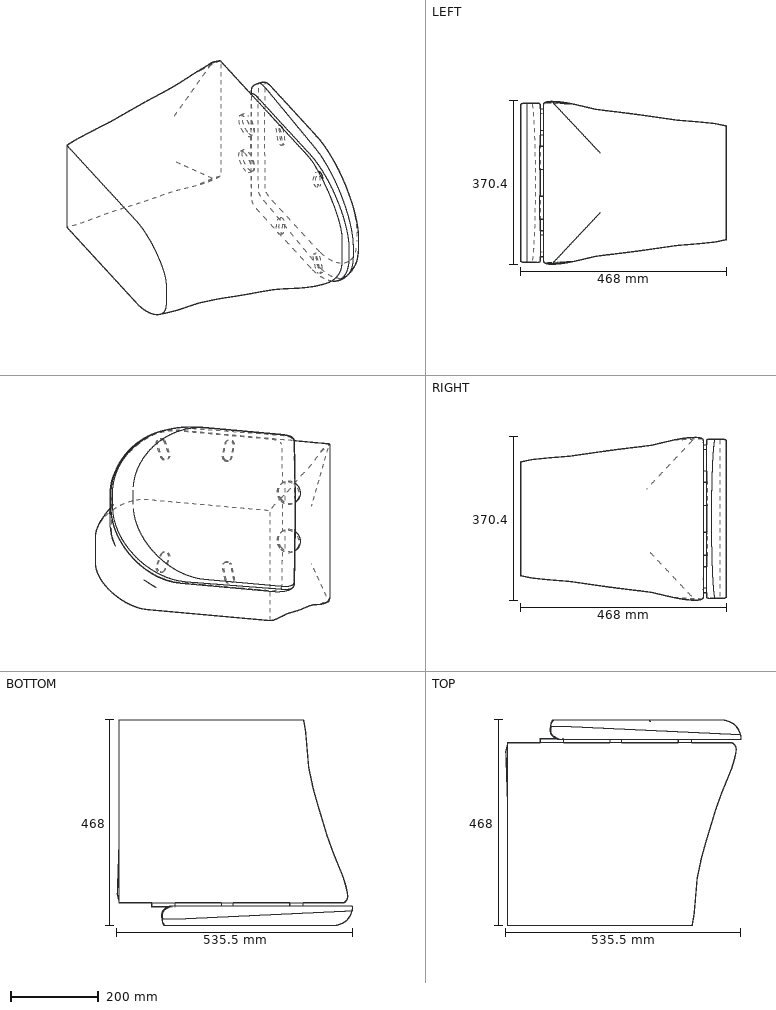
import cadquery as cq


BOWL_HEIGHT = 416.0
FLOOR_CORNER_FULLNESS = 0.46
RIM_CORNER_FULLNESS = 0.4
BOWL_SECTIONS = [
    (0, 129.5, 295.5, 420.0, 31.5),
    (85.5, 140.0, 310.0, 429.5, 32.5),
    (171.5, 151.0, 325.0, 446.0, 34.0),
    (257, 161.5, 340.5, 471.5, 36.0),
    (310.5, 170.0, 352.0, 491.0, 36.5),
    (353.5, 180.5, 363.5, 508.5, 37.5),
    (391, 185.0, 370.5, 519, 38.0),
    (402.5, 185.0, 371.0, 520.5, 38.0),
    (410.0, 183.5, 370.0, 517.5, 38.0),
    (414.5, 181.0, 368.0, 514, 37.5),
    (BOWL_HEIGHT, 176.5, 365.0, 509.5, 37.5),
]

FLARE_DEPTH = 4.0
FLARE_TIP = (287.0, 68.0)
FLARE_PEAK = (396, 184.0)
FLARE_TOP = (411.0, 182.0)
FLARE_BOTTOM = (350.5, 179.0)
FLARE_ROOT = 2.5

COVER_BOTTOM = 423
COVER_TOP = 468.0
COVER_HALF_WIDTH = 181.0
COVER_EDGE_HALF_WIDTH = 178.0
COVER_NOSE = 531.5
COVER_NOSE_FLAT = 16
COVER_CORNER_FULLNESS = 0.51
REAR_BOW = 2.0
REAR_CORNER_LENGTH = 29.5
REAR_CORNER_WIDTH = 13.5
COVER_SECTIONS = [
    (COVER_BOTTOM, COVER_EDGE_HALF_WIDTH, 116.5, 366.0, 530),
    (426.5, COVER_HALF_WIDTH, 108.5, 363.5, COVER_NOSE),
    (437.0, COVER_HALF_WIDTH, 98.5, 357.5, 529.5),
    (450.5, COVER_HALF_WIDTH, 97.5, 349.5, 522.5),
    (461.5, COVER_HALF_WIDTH, 99.5, 332, 510.0),
    (COVER_TOP, COVER_EDGE_HALF_WIDTH, 103.0, 320.0, 492.5),
]

JOINT_REAR_HEIGHT = 453.0
JOINT_BEND_X = 134
JOINT_NOSE_HEIGHT = 434.0

PAD_WIDTH = 21.0
PAD_LENGTH = 50.5
PAD_ROOT = 1.0
REAR_PAD = (246, 143.5, -12)
FRONT_PAD = (403.5, 133.0, 20)

DISC_DIAMETER = 53.0
DISC_X = 101.0
DISC_Z = 57.0
DISC_TOP = 425.0


def path_wire(points_by_edge):
    """Closed wire made of one Bezier curve or line per group of points."""
    edges = []
    for points in points_by_edge:
        vectors = [cq.Vector(*point) for point in points]
        if len(vectors) == 2:
            edges.append(cq.Edge.makeLine(*vectors))
        else:
            edges.append(cq.Edge.makeBezier(vectors))
    return cq.Wire.assembleEdges(edges)


def smooth_loft(wires):
    """Solid through the wires, spaced by distance so that close sections cause no waves."""
    solid = cq.occ_impl.shapes.loft(*wires, cap=True, parametrization="chordal")
    return cq.Workplane(solid)


def mirrored(points):
    """The same points on the other side of Z = 0, in reverse order."""
    return [(x, y, -z) for x, y, z in reversed(points)]


def front_corner(y, half_width, start_x, nose_x, nose_flat, fullness):
    """Control points of the curve from the straight side to the flat nose."""
    handle_x = start_x + fullness * (nose_x - start_x)
    handle_z = nose_flat + fullness * (half_width - nose_flat)
    return [
        (start_x, y, half_width),
        (handle_x, y, half_width),
        (nose_x, y, handle_z),
        (nose_x, y, nose_flat),
    ]


def bowl_section(y, half_width, start_x, nose_x, nose_flat):
    """Level outline of the bowl at height y, straight along the wall."""
    side = [(0, y, half_width), (start_x, y, half_width)]
    rise = y / BOWL_HEIGHT
    fullness = FLOOR_CORNER_FULLNESS + rise * (RIM_CORNER_FULLNESS - FLOOR_CORNER_FULLNESS)
    corner = front_corner(y, half_width, start_x, nose_x, nose_flat, fullness)
    nose = [corner[-1], (nose_x, y, -nose_flat)]
    back = [(0, y, -half_width), (0, y, half_width)]
    return path_wire([side, corner, nose, mirrored(corner), mirrored(side), back])


def corner_flare(side):
    """Flat pyramid on the back of the bowl at the rim corner on the given side."""
    base_points = [FLARE_TIP, FLARE_BOTTOM, FLARE_TOP]
    base = [cq.Vector(0, y, side * z) for y, z in base_points]
    root = [cq.Vector(FLARE_ROOT, y, side * z) for y, z in base_points]
    peak = cq.Vector(-FLARE_DEPTH, FLARE_PEAK[0], side * FLARE_PEAK[1])
    outlines = [root]
    for i in range(len(base)):
        j = i - 1
        outlines.append([base[i], base[j], peak])
        outlines.append([base[i], base[j], root[j], root[i]])
    faces = [cq.Face.makeFromWires(cq.Wire.makePolygon(outline, close=True)) for outline in outlines]
    return cq.Solid.makeSolid(cq.Shell.makeShell(faces))


def make_bowl():
    """Tapered bowl, flat at the wall, with a flared and rounded rim."""
    body = smooth_loft([bowl_section(*section) for section in BOWL_SECTIONS])
    for side in (1, -1):
        body = body.union(cq.Workplane(corner_flare(side)))
    return body


def cover_section(y, half_width, rear_x, start_x, nose_x):
    """Level outline of seat and lid at height y, with rounded rear corners."""
    corner_x = rear_x + REAR_BOW
    corner_z = half_width - REAR_CORNER_WIDTH
    side_x = corner_x + REAR_CORNER_LENGTH
    rear_corner = [(corner_x, y, corner_z), (corner_x, y, half_width), (side_x, y, half_width)]
    side = [(side_x, y, half_width), (start_x, y, half_width)]
    corner = front_corner(y, half_width, start_x, nose_x, COVER_NOSE_FLAT, COVER_CORNER_FULLNESS)
    nose = [corner[-1], (nose_x, y, -COVER_NOSE_FLAT)]
    rear = [(corner_x, y, -corner_z), (corner_x - 2 * REAR_BOW, y, 0), (corner_x, y, corner_z)]
    return path_wire([
        rear_corner, side, corner, nose,
        mirrored(corner), mirrored(side), mirrored(rear_corner), rear,
    ])


def make_cover():
    """Seat and closed lid together, before they are parted at the joint."""
    return smooth_loft([cover_section(*section) for section in COVER_SECTIONS])


def below_joint():
    """Block that holds everything under the joint, running level beyond the nose."""
    block_end = 2 * COVER_NOSE
    return (
        cq.Workplane("XY")
        .lineTo(block_end, 0)
        .lineTo(block_end, JOINT_NOSE_HEIGHT)
        .lineTo(COVER_NOSE, JOINT_NOSE_HEIGHT)
        .lineTo(JOINT_BEND_X, JOINT_REAR_HEIGHT)
        .lineTo(0, JOINT_REAR_HEIGHT)
        .close()
        .extrude(2 * COVER_HALF_WIDTH, both=True)
    )


def make_pad(x, z, turn, side):
    """Round-ended pad that fills the gap between bowl and seat."""
    pad_top = COVER_BOTTOM + PAD_ROOT
    return (
        cq.Workplane("XZ", origin=(x, pad_top, side * z))
        .transformed(rotate=(0, 0, side * (90 - turn)))
        .slot2D(PAD_LENGTH, PAD_WIDTH)
        .extrude(pad_top - BOWL_HEIGHT)
    )


def make_disc(side):
    """Hinge disc standing on the bowl and reaching into a shallow recess in the seat."""
    return (
        cq.Workplane("XZ", origin=(DISC_X, DISC_TOP, side * DISC_Z))
        .circle(DISC_DIAMETER / 2)
        .extrude(DISC_TOP - BOWL_HEIGHT)
    )


def make_seat(cover, discs):
    """Seat with its four pads and the recesses over the hinge discs."""
    body = cover.intersect(below_joint())
    for side in (1, -1):
        for pad in (REAR_PAD, FRONT_PAD):
            body = body.union(make_pad(*pad, side))
    for disc in discs:
        body = body.cut(disc)
    return body


cover = make_cover()
hinge_discs = [make_disc(side) for side in (1, -1)]
bowl = make_bowl()
seat = make_seat(cover, hinge_discs)
lid = cover.cut(below_joint())

result = cq.Compound.makeCompound([
    bowl.val(),
    seat.val(),
    lid.val(),
    *[disc.val() for disc in hinge_discs],
])